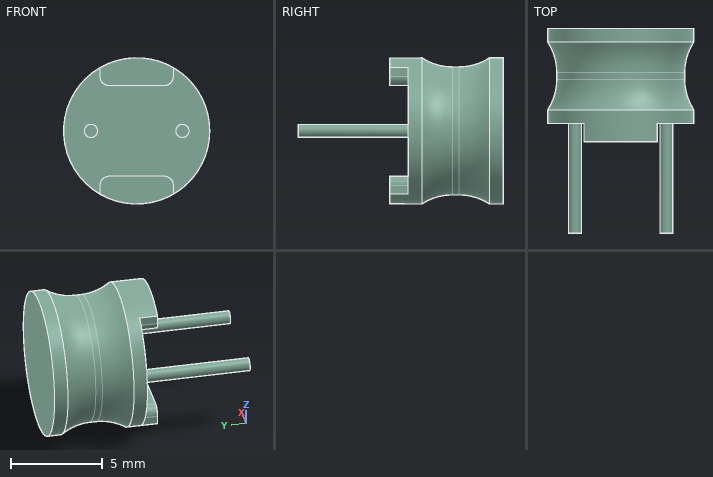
import cadquery as cq
import math

total_length = 11.2
drum_radius = 4.0
drum_length = 5.2
flange_thickness = 0.75
waist_radius = 3.5
waist_band_length = 0.37

foot_width = 4.01
foot_height = 1.01
foot_inner_offset = 2.48
foot_corner_radius = 0.5

pin_diameter = 0.72
pin_spacing = 5.0
pin_length = total_length - drum_length


def make_drum():
    """Revolve a flanged profile whose waist arcs run tangent into the middle band."""
    middle = drum_length / 2
    band_start = middle - waist_band_length / 2
    band_end = middle + waist_band_length / 2
    far_flange = drum_length - flange_thickness

    arc_length = band_start - flange_thickness
    arc_depth = drum_radius - waist_radius
    arc_radius = (arc_length**2 + arc_depth**2) / (2 * arc_depth)
    half_angle = math.asin(arc_length / arc_radius) / 2
    mid_radius = waist_radius + arc_radius * (1 - math.cos(half_angle))
    mid_offset = arc_radius * math.sin(half_angle)

    return (
        cq.Workplane("XY")
        .lineTo(drum_radius, 0)
        .lineTo(drum_radius, flange_thickness)
        .threePointArc((mid_radius, band_start - mid_offset), (waist_radius, band_start))
        .lineTo(waist_radius, band_end)
        .threePointArc((mid_radius, band_end + mid_offset), (drum_radius, far_flange))
        .lineTo(drum_radius, drum_length)
        .lineTo(0, drum_length)
        .close()
        .revolve(360, (0, 0, 0), (0, 1, 0))
    )


def make_feet():
    """Two feet on the front flange, trimmed to the drum's round outline."""
    block_height = 2 * foot_inner_offset
    outline = cq.Workplane("XZ").circle(drum_radius).extrude(foot_height)
    feet = None
    for side in (1, -1):
        block = (
            cq.Workplane("XZ")
            .center(0, side * (foot_inner_offset + block_height / 2))
            .rect(foot_width, block_height)
            .extrude(foot_height)
            .edges("|Y")
            .fillet(foot_corner_radius)
        )
        foot = block.intersect(outline)
        feet = foot if feet is None else feet.union(foot)
    return feet


def make_pins():
    return (
        cq.Workplane("XZ")
        .pushPoints([(-pin_spacing / 2, 0), (pin_spacing / 2, 0)])
        .circle(pin_diameter / 2)
        .extrude(pin_length)
    )


result = make_drum().union(make_feet()).union(make_pins())